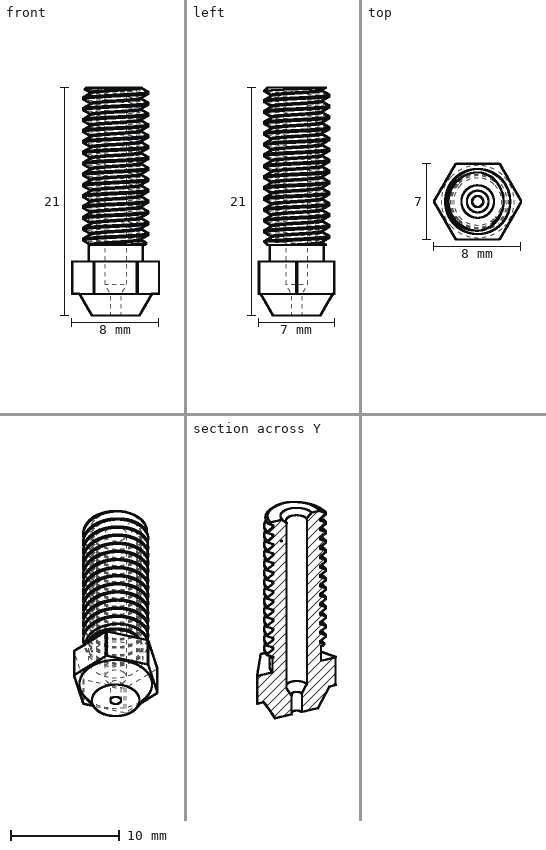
import cadquery as cq
import math

tip_height = 2.0
hex_height = 3.0
neck_height = 1.5
total_height = 21.0
hex_top = tip_height + hex_height
thread_base = hex_top + neck_height
thread_length = total_height - thread_base

tip_base_diameter = 6.69
tip_half_angle = 30.0

hex_sides = 6
hex_across_flats = 7.0
hex_corner_diameter = 8.0

neck_diameter = 5.0

thread_diameter = 6.0
thread_pitch = 1.0
thread_depth = 0.6134 * thread_pitch
thread_half_angle = 30.0
root_gap = thread_pitch / 8
root_half_width = (thread_pitch - root_gap) / 2
crest_half_width = root_half_width - thread_depth * math.tan(math.radians(thread_half_angle))
crest_radius = thread_diameter / 2
root_radius = crest_radius - thread_depth
end_chamfer = 0.32
ridge_overlap = 0.1
ridge_overrun_turns = 2
envelope_clearance = 0.18

inlet_diameter = 3.0
bore_diameter = 2.0
outlet_diameter = 1.0
inlet_chamfer_depth = (inlet_diameter - bore_diameter) / 2
outlet_length = tip_height
bore_taper_half_angle = 30.0


def make_cylinder(radius, base_height, height):
    return cq.Workplane().workplane(offset=base_height).circle(radius).extrude(height)


def make_tip():
    base_radius = tip_base_diameter / 2
    end_radius = base_radius - tip_height * math.tan(math.radians(tip_half_angle))
    return cq.Workplane(cq.Solid.makeCone(end_radius, base_radius, tip_height))


def make_hexagon():
    corner_to_corner = hex_across_flats / math.cos(math.pi / hex_sides)
    hex_plane = cq.Workplane().workplane(offset=tip_height)
    hexagon = hex_plane.polygon(hex_sides, corner_to_corner).extrude(hex_height)
    corner_round = make_cylinder(hex_corner_diameter / 2, tip_height, hex_height)
    return hexagon.intersect(corner_round)


def make_neck():
    return make_cylinder(neck_diameter / 2, hex_top, neck_height)


def make_helical_solid(profile, start_height, length):
    """Solid swept along the thread helix by a closed (radius, height) profile."""
    rails = []
    for radius, height in profile:
        rail_origin = cq.Vector(0, 0, start_height + height)
        rails.append(cq.Wire.makeHelix(thread_pitch, length, radius, center=rail_origin))
    next_rails = rails[1:] + rails[:1]
    faces = [cq.Face.makeRuledSurface(rail, next_rail) for rail, next_rail in zip(rails, next_rails)]
    start_points = [rail.startPoint() for rail in rails]
    end_points = [rail.endPoint() for rail in rails]
    for points in (start_points, end_points):
        faces.append(cq.Face.makeFromWires(cq.Wire.makePolygon(points, close=True)))
    return cq.Workplane(cq.Solid.makeSolid(cq.Shell.makeShell(faces)))


def make_thread_ridge():
    """Thread ridge overrunning both ends; at +X its crest lies half a pitch above whole pitches."""
    buried_radius = root_radius - ridge_overlap
    profile = [
        (buried_radius, -root_half_width),
        (root_radius, -root_half_width),
        (crest_radius, -crest_half_width),
        (crest_radius, crest_half_width),
        (root_radius, root_half_width),
        (buried_radius, root_half_width),
    ]
    start_turn = math.floor(thread_base / thread_pitch) - ridge_overrun_turns - 0.5
    turns = math.ceil(thread_length / thread_pitch) + 2 * ridge_overrun_turns
    start_height = start_turn * thread_pitch
    length = turns * thread_pitch
    return make_helical_solid(profile, start_height, length)


def make_thread_envelope():
    """Cylinder clear of the crests whose chamfered ends trim the ridge."""
    envelope_radius = crest_radius + envelope_clearance
    end_radius = crest_radius - end_chamfer
    blank = make_cylinder(envelope_radius, thread_base, thread_length)
    return blank.faces("<Z or >Z").edges().chamfer(envelope_radius - end_radius)


def make_thread():
    core = make_cylinder(root_radius, thread_base, thread_length)
    ridge = make_thread_ridge().intersect(make_thread_envelope())
    return core.union(ridge)


def make_bore():
    """Revolved bore: chamfered inlet, main bore, taper and outlet."""
    bore_radius = bore_diameter / 2
    outlet_radius = outlet_diameter / 2
    cone_length = (bore_radius - outlet_radius) / math.tan(math.radians(bore_taper_half_angle))
    return (
        cq.Workplane("XZ")
        .polyline([
            (0, 0),
            (outlet_radius, 0),
            (outlet_radius, outlet_length),
            (bore_radius, outlet_length + cone_length),
            (bore_radius, total_height - inlet_chamfer_depth),
            (inlet_diameter / 2, total_height),
            (0, total_height),
        ])
        .close()
        .revolve(360, (0, 0), (0, 1))
    )


body = make_tip().union(make_hexagon()).union(make_neck()).union(make_thread())
result = body.cut(make_bore())